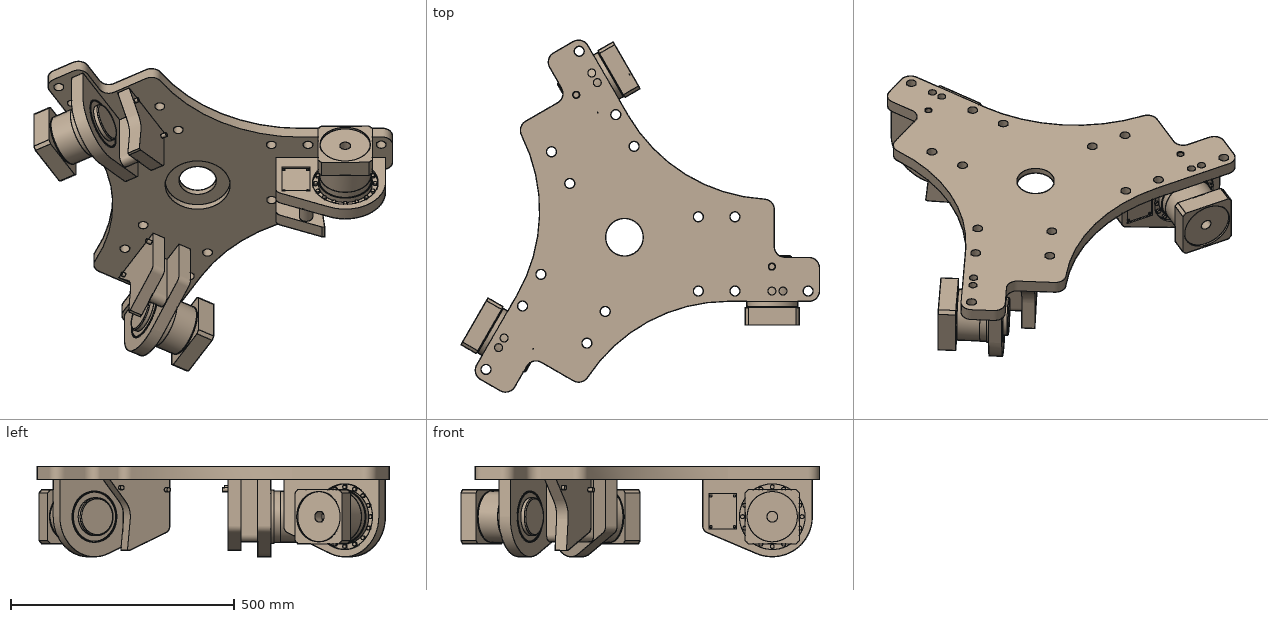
import cadquery as cq
import math

PLATE_T = 30.0
ARM_COUNT = 3
ARM_STEP = 360 / ARM_COUNT
PLAIN_ARM = 2
HUB_HOLE_D = 83.5
HUB_RECESS_D = 145.0
HUB_LIP_T = 14.5
ARM_TIP_X = 437.0
ARM_FRONT_Y = -144.0
TAB_BACK_Y = -45.0
STEP_X = 335.5
SCALLOP_R = 376.0
SCALLOP_X = 232.0
CORNER_R = 24.0

MOUNT_HOLE_D = 22.0
MOUNT_FRONT_Y = -120.0
MOUNT_REAR_Y = 46.0
MOUNT_XS = (165.0, 247.0)
TIP_HOLE_X = 411.0
ACCESS_HOLE_D = 18.0
ACCESS_XS = (330.0, 355.0)
DOWEL_HOLE_D = 14.0
DOWEL_HOLE_XY = (330.0, -66.0)
DOWEL_CHAMFER = 1.2

BRACKET_T = 30.0
BRACKET_FRONT_Y = -82.0
GUSSET_BACK_Y = 14.5
BRACKET_INNER_X = 175.0
AXLE_X = 331.0
BRACKET_R = 90.0
BRACKET_BOTTOM_Z = -202.0
AXLE_Z = BRACKET_BOTTOM_Z + BRACKET_R
BOTTOM_SLOPE = 23.0
BRACKET_CORNER_R = 16.0

GUSSET_RELIEF_R = 54.0
GUSSET_UPPER_ANGLE = 50.0
GUSSET_BOTTOM_Z = -188.0
GUSSET_LOWER_LEAN = 6.0

WEB_X = 228.0
WEB_T = 30.0
WEB_BOTTOM_Z = -168.5
WEB_EDGE_R = 14.5

PANEL_X = 220.0
PANEL_Z = -100.0
PANEL_W = 63.0
PANEL_H = 79.0
PANEL_DEPTH = 4.0
PANEL_SCREW_D = 5.0
PANEL_SCREW_INSET = 5.0
PANEL_SCREW_DEPTH = 8.0

PIN_D = 10.0
PINS = ((302.5, -47.0, 8.0), (185.0, -52.0, 12.0))

FLANGE_D = 147.0
FLANGE_DEPTH = 6.5
FLANGE_BOLTS = 16
FLANGE_BOLT_CIRCLE_D = 133.0
FLANGE_BOLT_D = 9.0
FLANGE_BOLT_H = 5.0
COLLAR_D = 120.0
COLLAR_END_Y = -88.0
NECK_BASE_D = 115.5
NECK_BASE_END_Y = -103.5
NECK_D = 115.0
SPIGOT_D = 111.0
SPIGOT_L = 2.5
MOTOR_BACK_Y = -157.0
MOTOR_FRONT_Y = -197.0
MOTOR_SIZE = 121.0
MOTOR_CHAMFER = 7.0
COVER_D = 112.0
COVER_DEPTH = 5.0
SHAFT_HOLE_D = 24.0
SHAFT_HOLE_DEPTH = 36.0
OUTPUT_RING_OD = 115.0
OUTPUT_RING_ID = 110.0
OUTPUT_RING_DEPTH = 2.5
OUTPUT_HUB_D = 85.0
OUTPUT_HUB_H = 11.0
OUTPUT_HUB_CHAMFER = 2.5


def turned(x, y, degrees):
    """Rotate a point about the hub axis."""
    a = math.radians(degrees)
    return (x * math.cos(a) - y * math.sin(a), x * math.sin(a) + y * math.cos(a))


def around_hub(points):
    """The given arm points repeated on every arm."""
    return [turned(x, y, arm * ARM_STEP) for arm in range(ARM_COUNT) for x, y in points]


def xz_sketch(y):
    """XZ sketch plane at the given Y; positive extrusion runs towards -Y."""
    return cq.Workplane("XZ", origin=(0, y, 0))


def axle_cylinder(diameter, y_front, y_back):
    """Cylinder on the axle between two Y positions."""
    sketch = xz_sketch(y_back).center(AXLE_X, AXLE_Z)
    return sketch.circle(diameter / 2).extrude(y_back - y_front)


def make_deck():
    """Three-armed plate with scalloped sides and all holes shared by the arms."""
    centre_y = ARM_FRONT_Y - SCALLOP_R
    next_centre_x, next_centre_y = turned(SCALLOP_X, centre_y, ARM_STEP)
    step_corner_y = next_centre_y - math.sqrt(SCALLOP_R**2 - (STEP_X - next_centre_x) ** 2)
    step_corner = (STEP_X, step_corner_y)
    scallop_end = turned(*step_corner, -ARM_STEP)
    end_angle = math.atan2(scallop_end[1] - centre_y, scallop_end[0] - SCALLOP_X)
    mid_angle = (math.pi / 2 + end_angle) / 2
    scallop_mid = (
        SCALLOP_X + SCALLOP_R * math.cos(mid_angle),
        centre_y + SCALLOP_R * math.sin(mid_angle),
    )
    outline = cq.Workplane("XY").moveTo(*step_corner)
    for arm in range(ARM_COUNT):
        a = -arm * ARM_STEP
        outline = outline.lineTo(*turned(STEP_X, TAB_BACK_Y, a))
        outline = outline.lineTo(*turned(ARM_TIP_X, TAB_BACK_Y, a))
        outline = outline.lineTo(*turned(ARM_TIP_X, ARM_FRONT_Y, a))
        outline = outline.lineTo(*turned(SCALLOP_X, ARM_FRONT_Y, a))
        outline = outline.threePointArc(turned(*scallop_mid, a), turned(*scallop_end, a))
    deck = outline.close().extrude(-PLATE_T)

    corners = (
        step_corner,
        (STEP_X, TAB_BACK_Y),
        (ARM_TIP_X, TAB_BACK_Y),
        (ARM_TIP_X, ARM_FRONT_Y),
    )
    for x, y in around_hub(corners):
        deck = deck.edges(cq.NearestToPointSelector((x, y, -PLATE_T / 2))).fillet(CORNER_R)

    mounts = [(x, y) for x in MOUNT_XS for y in (MOUNT_FRONT_Y, MOUNT_REAR_Y)]
    mounts.append((TIP_HOLE_X, MOUNT_FRONT_Y))
    accesses = [(x, MOUNT_FRONT_Y) for x in ACCESS_XS]
    holes = ((mounts, MOUNT_HOLE_D), (accesses, ACCESS_HOLE_D))
    for points, diameter in holes:
        cutter = cq.Workplane("XY").pushPoints(around_hub(points)).circle(diameter / 2)
        deck = deck.cut(cutter.extrude(-PLATE_T))
    deck = deck.cut(cq.Workplane("XY").circle(HUB_HOLE_D / 2).extrude(-PLATE_T))
    underside = cq.Workplane("XY", origin=(0, 0, -PLATE_T))
    return deck.cut(underside.circle(HUB_RECESS_D / 2).extrude(PLATE_T - HUB_LIP_T))


def cut_dowel_hole(deck, arm):
    """Chamfered hole through the deck beside the bracket of one arm."""
    x, y = turned(*DOWEL_HOLE_XY, arm * ARM_STEP)
    deck = deck.cut(cq.Workplane("XY").center(x, y).circle(DOWEL_HOLE_D / 2).extrude(-PLATE_T))
    rim = cq.Solid.makeCone(
        DOWEL_HOLE_D / 2,
        DOWEL_HOLE_D / 2 + DOWEL_CHAMFER,
        DOWEL_CHAMFER,
        pnt=cq.Vector(x, y, -DOWEL_CHAMFER),
    )
    return deck.cut(cq.Workplane(rim))


def bracket_plate(front_y):
    """Plate hanging from the deck, rounded about the axle, with a sloping lower edge."""
    slope = math.radians(BOTTOM_SLOPE)
    tangent_x = AXLE_X - BRACKET_R * math.sin(slope)
    tangent_z = AXLE_Z - BRACKET_R * math.cos(slope)
    inner_z = tangent_z + (tangent_x - BRACKET_INNER_X) * math.tan(slope)
    round_mid = math.pi / 4 - slope / 2
    plate = (
        xz_sketch(front_y + BRACKET_T)
        .moveTo(BRACKET_INNER_X, -PLATE_T)
        .lineTo(BRACKET_INNER_X, inner_z)
        .lineTo(tangent_x, tangent_z)
        .threePointArc(
            (AXLE_X + BRACKET_R * math.sin(round_mid), AXLE_Z - BRACKET_R * math.cos(round_mid)),
            (AXLE_X + BRACKET_R, AXLE_Z),
        )
        .lineTo(AXLE_X + BRACKET_R, -PLATE_T)
        .close()
        .extrude(BRACKET_T)
    )
    corner = (BRACKET_INNER_X, front_y + BRACKET_T / 2, inner_z)
    return plate.edges(cq.NearestToPointSelector(corner)).fillet(BRACKET_CORNER_R)


def make_gusset():
    """Second bracket plate, cut away round the axle, with its two pins."""
    upper = math.radians(GUSSET_UPPER_ANGLE)
    lean = math.radians(GUSSET_LOWER_LEAN)

    def relief_point(angle_below_axle):
        """Point on the inner side of the relief circle."""
        return (
            AXLE_X - GUSSET_RELIEF_R * math.cos(angle_below_axle),
            AXLE_Z - GUSSET_RELIEF_R * math.sin(angle_below_axle),
        )

    upper_angle = upper - math.pi / 2
    upper_x, upper_z = relief_point(upper_angle)
    lower_x, lower_z = relief_point(lean)
    top_x = upper_x + (-PLATE_T - upper_z) / math.tan(upper)
    bottom_x = lower_x + (lower_z - BRACKET_BOTTOM_Z) * math.tan(lean)
    far_x = AXLE_X + 2 * BRACKET_R
    relief = (
        xz_sketch(GUSSET_BACK_Y)
        .moveTo(top_x, -PLATE_T)
        .lineTo(upper_x, upper_z)
        .threePointArc(relief_point((upper_angle + lean) / 2), (lower_x, lower_z))
        .lineTo(bottom_x, BRACKET_BOTTOM_Z)
        .lineTo(far_x, BRACKET_BOTTOM_Z)
        .lineTo(far_x, -PLATE_T)
        .close()
        .extrude(BRACKET_T)
    )
    below = xz_sketch(GUSSET_BACK_Y).moveTo(BRACKET_INNER_X, BRACKET_BOTTOM_Z)
    below = below.lineTo(far_x, BRACKET_BOTTOM_Z).lineTo(far_x, GUSSET_BOTTOM_Z)
    below = below.lineTo(BRACKET_INNER_X, GUSSET_BOTTOM_Z).close().extrude(BRACKET_T)
    gusset = bracket_plate(GUSSET_BACK_Y - BRACKET_T).cut(relief).cut(below)
    for x, z, length in PINS:
        pin = xz_sketch(GUSSET_BACK_Y + length).center(x, z).circle(PIN_D / 2).extrude(length)
        gusset = gusset.union(pin)
    return gusset


def make_web():
    """Upright web with a rounded lower edge, joining the two bracket plates."""
    span = GUSSET_BACK_Y - BRACKET_T - (BRACKET_FRONT_Y + BRACKET_T)
    height = -PLATE_T - WEB_BOTTOM_Z
    block = cq.Workplane("XY").box(WEB_T, span, height, centered=False)
    block = block.faces("<Z").edges("|Y").fillet(WEB_EDGE_R)
    return block.translate((WEB_X, BRACKET_FRONT_Y + BRACKET_T, WEB_BOTTOM_Z))


def cut_panel(bracket):
    """Shallow rectangular recess in the front face with a screw hole in each corner."""
    face = xz_sketch(BRACKET_FRONT_Y + PANEL_DEPTH).center(PANEL_X, PANEL_Z)
    bracket = bracket.cut(face.rect(PANEL_W, PANEL_H).extrude(PANEL_DEPTH))
    screw_span_x = PANEL_W - 2 * PANEL_SCREW_INSET
    screw_span_z = PANEL_H - 2 * PANEL_SCREW_INSET
    screws = face.rect(screw_span_x, screw_span_z, forConstruction=True)
    return bracket.cut(screws.vertices().circle(PANEL_SCREW_D / 2).extrude(-PANEL_SCREW_DEPTH))


def cut_flange(bracket):
    """Round recess for the drive flange, with a ring of bolt heads on its floor."""
    floor_y = BRACKET_FRONT_Y + FLANGE_DEPTH
    bracket = bracket.cut(axle_cylinder(FLANGE_D, BRACKET_FRONT_Y, floor_y))
    bolts = (
        xz_sketch(floor_y)
        .center(AXLE_X, AXLE_Z)
        .polarArray(FLANGE_BOLT_CIRCLE_D / 2, 0, 360, FLANGE_BOLTS)
        .circle(FLANGE_BOLT_D / 2)
        .extrude(FLANGE_BOLT_H)
    )
    return bracket.union(bolts)


def add_output(bracket):
    """Ring groove and raised hub on the back of the bracket."""
    back_y = BRACKET_FRONT_Y + BRACKET_T
    ring = axle_cylinder(OUTPUT_RING_OD, back_y - OUTPUT_RING_DEPTH, back_y)
    ring = ring.cut(axle_cylinder(OUTPUT_RING_ID, back_y - OUTPUT_RING_DEPTH, back_y))
    hub = axle_cylinder(OUTPUT_HUB_D, back_y, back_y + OUTPUT_HUB_H)
    hub = hub.faces(">Y").chamfer(OUTPUT_HUB_CHAMFER)
    return bracket.cut(ring).union(hub)


def make_motor():
    """Square motor body on a round neck, with a recessed cover and a shaft hole."""
    floor_y = BRACKET_FRONT_Y + FLANGE_DEPTH
    body = xz_sketch(MOTOR_BACK_Y).center(AXLE_X, AXLE_Z).rect(MOTOR_SIZE, MOTOR_SIZE)
    body = body.extrude(MOTOR_BACK_Y - MOTOR_FRONT_Y).edges("|Y").chamfer(MOTOR_CHAMFER)
    body = body.cut(axle_cylinder(COVER_D, MOTOR_FRONT_Y, MOTOR_FRONT_Y + COVER_DEPTH))
    body = body.cut(axle_cylinder(SHAFT_HOLE_D, MOTOR_FRONT_Y, MOTOR_FRONT_Y + SHAFT_HOLE_DEPTH))
    spigot = axle_cylinder(SPIGOT_D, MOTOR_BACK_Y, floor_y)
    neck = axle_cylinder(NECK_D, MOTOR_BACK_Y + SPIGOT_L, floor_y)
    neck_base = axle_cylinder(NECK_BASE_D, NECK_BASE_END_Y, floor_y)
    collar = axle_cylinder(COLLAR_D, COLLAR_END_Y, floor_y)
    return body.union(spigot).union(neck).union(neck_base).union(collar)


def make_drive(with_panel):
    """Bracket, gusset, web and motor of the arm along +X."""
    bracket = bracket_plate(BRACKET_FRONT_Y)
    if with_panel:
        bracket = cut_panel(bracket)
    bracket = add_output(cut_flange(bracket))
    return bracket.union(make_gusset()).union(make_web()).union(make_motor())


result = make_deck()
for arm in range(ARM_COUNT):
    complete = arm != PLAIN_ARM
    if complete:
        result = cut_dowel_hole(result, arm)
    drive = make_drive(with_panel=complete)
    result = result.union(drive.rotate((0, 0, 0), (0, 0, 1), arm * ARM_STEP))